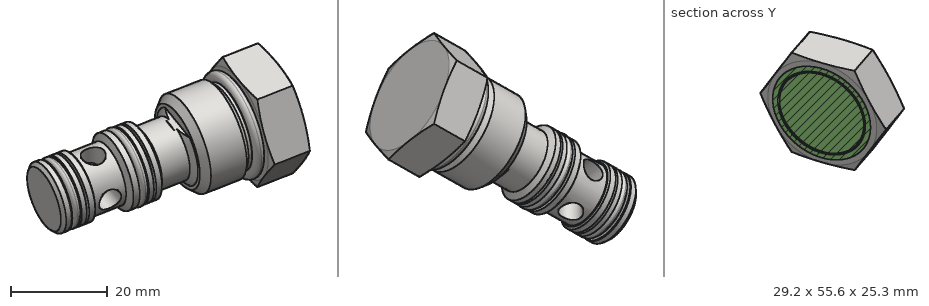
import cadquery as cq
import math

TOTAL_LENGTH = 55.6
HEX_ACROSS_FLATS = 25.25
HEX_LENGTH = 9.45
HEX_CHAMFER_ANGLE = 15

UNDERCUT_DIAMETER = 19.6
UNDERCUT_END = 12.45
BODY_DIAMETER = 22.25
BODY_START = 13.6
BODY_END = 22.15
BODY_FACE_DIAMETER = 19.0
BODY_FACE = 23.85

STEM_DIAMETER = 14.3
CONE_DIAMETER = 17.35
CONE_END = 24.9
FLATS_WIDTH = 13.9
FLATS_END = 25.6

UPPER_DIAMETER = 17.35
UPPER_START = 31.5
UPPER_END = 40.1
UPPER_CHAMFER_LENGTH = 0.9
UPPER_FLOOR_DIAMETER = 14.9
UPPER_GROOVE_START = 33.75
UPPER_GROOVE_END = 37.7

LOWER_DIAMETER = 15.9
LOWER_START = 47.6
LOWER_SHOULDER_DIAMETER = 14.9
LOWER_CHAMFER_LENGTH = 0.3
LOWER_FLOOR_DIAMETER = 13.3
LOWER_GROOVE_START = 49.3
LOWER_GROOVE_END = 53.25
LOWER_RELIEF_DIAMETER = 15.8
LOWER_RELIEF_END = 53.5
TIP_CHAMFER = (LOWER_DIAMETER - STEM_DIAMETER) / 2

BACKUP_GAP = 0.55
BACKUP_LENGTH = 1.15
LAND_O_RING_SECTION = 1.95
UPPER_O_RING_DIAMETER = 17.6
HEAD_O_RING_DIAMETER = 24.0
HEAD_O_RING_SECTION = 2.55
SEAL_OVERLAP = 0.03

HOLE_DIAMETER = 5.2
HOLE_STATION = 43.85


def turned(profile):
    """Solid of revolution about Y from (diameter, station) corners."""
    corners = [(diameter / 2, -station) for diameter, station in profile]
    first, last = profile[0][1], profile[-1][1]
    outline = [(0, -first)] + corners + [(0, -last)]
    return cq.Workplane("XY").polyline(outline).close().revolve(360, (0, 0, 0), (0, 1, 0))


def make_hex_head():
    """Hexagon with both ends turned down to the circle across its flats."""
    corner_diameter = HEX_ACROSS_FLATS / math.cos(math.radians(30))
    drop = (corner_diameter - HEX_ACROSS_FLATS) / 2 * math.tan(math.radians(HEX_CHAMFER_ANGLE))
    prism = cq.Workplane("XZ").polygon(6, corner_diameter).extrude(HEX_LENGTH)
    outer_diameter = 2 * corner_diameter - HEX_ACROSS_FLATS
    envelope = turned([
        (HEX_ACROSS_FLATS, 0),
        (outer_diameter, 2 * drop),
        (outer_diameter, HEX_LENGTH - 2 * drop),
        (HEX_ACROSS_FLATS, HEX_LENGTH),
    ])
    return prism.intersect(envelope)


def make_shank():
    """Everything turned below the head, with open seal grooves."""
    return turned([
        (UNDERCUT_DIAMETER, HEX_LENGTH),
        (UNDERCUT_DIAMETER, UNDERCUT_END),
        (BODY_DIAMETER, BODY_START),
        (BODY_DIAMETER, BODY_END),
        (BODY_FACE_DIAMETER, BODY_FACE),
        (CONE_DIAMETER, BODY_FACE),
        (STEM_DIAMETER, CONE_END),
        (STEM_DIAMETER, UPPER_START),
        (UPPER_DIAMETER, UPPER_START + UPPER_CHAMFER_LENGTH),
        (UPPER_DIAMETER, UPPER_GROOVE_START),
        (UPPER_FLOOR_DIAMETER, UPPER_GROOVE_START),
        (UPPER_FLOOR_DIAMETER, UPPER_GROOVE_END),
        (UPPER_DIAMETER, UPPER_GROOVE_END),
        (UPPER_DIAMETER, UPPER_END - UPPER_CHAMFER_LENGTH),
        (STEM_DIAMETER, UPPER_END),
        (STEM_DIAMETER, LOWER_START),
        (LOWER_SHOULDER_DIAMETER, LOWER_START),
        (LOWER_DIAMETER, LOWER_START + LOWER_CHAMFER_LENGTH),
        (LOWER_DIAMETER, LOWER_GROOVE_START),
        (LOWER_FLOOR_DIAMETER, LOWER_GROOVE_START),
        (LOWER_FLOOR_DIAMETER, LOWER_GROOVE_END),
        (LOWER_RELIEF_DIAMETER, LOWER_GROOVE_END),
        (LOWER_RELIEF_DIAMETER, LOWER_RELIEF_END),
        (LOWER_DIAMETER, LOWER_RELIEF_END),
        (LOWER_DIAMETER, TOTAL_LENGTH - TIP_CHAMFER),
        (STEM_DIAMETER, TOTAL_LENGTH),
    ])


def make_o_ring(outer_diameter, section, start):
    """O-ring whose head-side edge is at the start station."""
    section_radius = section / 2
    centre_radius = outer_diameter / 2 - section_radius
    return (
        cq.Workplane("XY")
        .center(centre_radius, -start - section_radius)
        .circle(section_radius)
        .revolve(360, (-centre_radius, 0, 0), (-centre_radius, 1, 0))
    )


def add_land_seals(part, groove_start, land_diameter, o_ring_diameter):
    """Fill a land groove with a backup ring and an O-ring on its tip side."""
    backup_start = groove_start + BACKUP_GAP
    backup_end = backup_start + BACKUP_LENGTH
    backup_ring = turned([(land_diameter, backup_start), (land_diameter, backup_end)])
    o_ring = make_o_ring(o_ring_diameter, LAND_O_RING_SECTION, backup_end - SEAL_OVERLAP)
    return part.union(backup_ring).union(o_ring)


def cut_wrench_flats(part):
    """Cut two flats, facing +Z and -Z, into the cone and the start of the stem."""
    flats_length = FLATS_END - BODY_FACE
    cut_depth = (BODY_DIAMETER - FLATS_WIDTH) / 2
    for side in (1, -1):
        cutter = cq.Workplane("XY").box(BODY_DIAMETER, flats_length, cut_depth).translate(
            (0, -(BODY_FACE + FLATS_END) / 2, side * (FLATS_WIDTH + cut_depth) / 2)
        )
        part = part.cut(cutter)
    return part


def cut_cross_holes(part):
    """Drill one hole along X and one along Z, right through the stem."""
    for direction in ((1, 0, 0), (0, 0, 1)):
        start = cq.Vector(0, -HOLE_STATION, 0) - cq.Vector(*direction) * STEM_DIAMETER
        drill = cq.Solid.makeCylinder(
            HOLE_DIAMETER / 2, 2 * STEM_DIAMETER, start, cq.Vector(*direction)
        )
        part = part.cut(cq.Workplane(obj=drill))
    return part


head_o_ring = make_o_ring(HEAD_O_RING_DIAMETER, HEAD_O_RING_SECTION, HEX_LENGTH - SEAL_OVERLAP)
result = make_hex_head().union(make_shank()).union(head_o_ring)
result = add_land_seals(result, UPPER_GROOVE_START, UPPER_DIAMETER, UPPER_O_RING_DIAMETER)
result = add_land_seals(result, LOWER_GROOVE_START, LOWER_DIAMETER, LOWER_DIAMETER)
result = cut_wrench_flats(result)
result = cut_cross_holes(result)